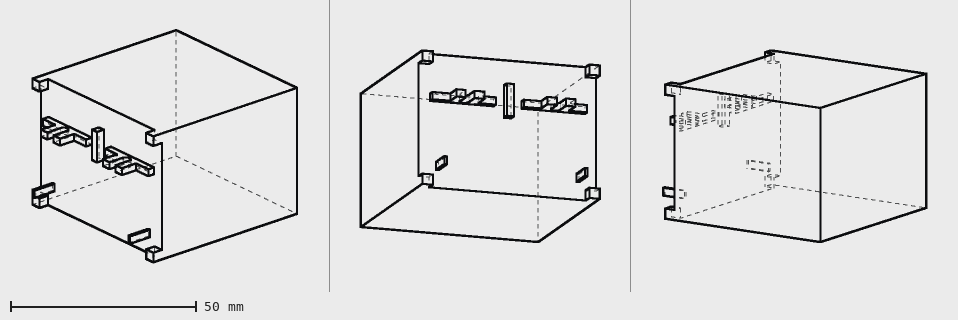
import cadquery as cq

width = 50.5
total_depth = 54.5
height = 37.0
terminal_length = 7.0
face_y = terminal_length

foot_width = 3.0
foot_height = 2.85
foot_length = 3.0

key_width = 2.0
key_height = 8.95
key_length = 2.4
key_z = 25.5

blade_thickness = 2.0
blade_z = 24.95
blade_inner_x = 4.0
blade_outer_x = 22.0
blade_base_length = 2.0
fork_inner_x = 8.95
fork_outer_x = 16.9
slot_inner_x = 11.7
slot_outer_x = 14.3
slot_end_y = 6.0

pin_width = 0.75
pin_height = 2.2
pin_x = 20.0
pin_z = 6.05


def front_bar(x, z, bar_width, bar_height, length):
    """Bar centred at (x, z), projecting forward from the front face."""
    return cq.Workplane("XY").box(
        bar_width, length, bar_height, centered=(True, False, True)
    ).translate((x, face_y - length, z))


def forked_blade():
    """Blade on the +X side: a wide base and two prongs around a round-ended slot."""
    base_y = face_y - blade_base_length
    slot_radius = (slot_outer_x - slot_inner_x) / 2
    slot_x = (slot_outer_x + slot_inner_x) / 2
    arc_start_y = slot_end_y - slot_radius
    return (
        cq.Workplane("XY", origin=(0, 0, blade_z - blade_thickness / 2))
        .moveTo(blade_inner_x, face_y)
        .lineTo(blade_inner_x, base_y)
        .lineTo(fork_inner_x, base_y)
        .lineTo(fork_inner_x, 0)
        .lineTo(slot_inner_x, 0)
        .lineTo(slot_inner_x, arc_start_y)
        .threePointArc((slot_x, slot_end_y), (slot_outer_x, arc_start_y))
        .lineTo(slot_outer_x, 0)
        .lineTo(fork_outer_x, 0)
        .lineTo(fork_outer_x, base_y)
        .lineTo(blade_outer_x, base_y)
        .lineTo(blade_outer_x, face_y)
        .close()
        .extrude(blade_thickness)
    )


housing = cq.Workplane("XY").box(
    width, total_depth - terminal_length, height, centered=(True, False, False)
).translate((0, face_y, 0))

result = housing.union(front_bar(0, key_z, key_width, key_height, key_length))

right_blade = forked_blade()
result = result.union(right_blade).union(right_blade.mirror("YZ"))

foot_x = (width - foot_width) / 2
for side in (-1, 1):
    result = result.union(front_bar(side * pin_x, pin_z, pin_width, pin_height, terminal_length))
    for foot_z in (foot_height / 2, height - foot_height / 2):
        result = result.union(front_bar(side * foot_x, foot_z, foot_width, foot_height, foot_length))